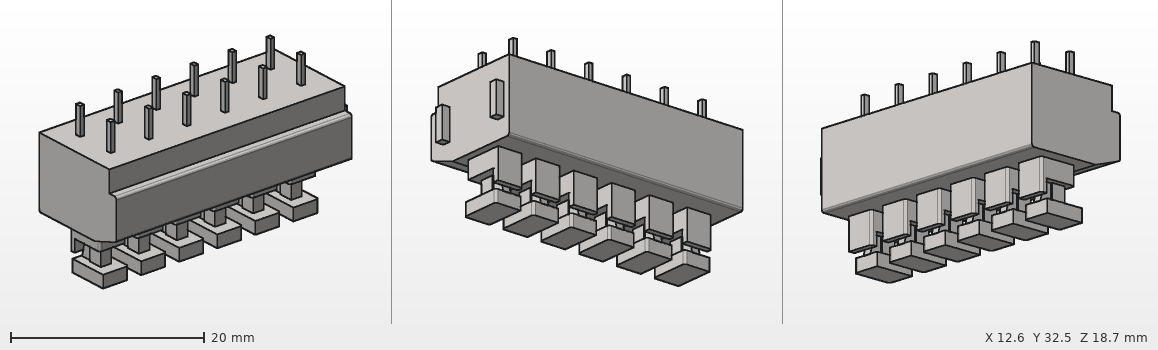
import cadquery as cq


total_length = 32.48
total_height = 18.7
housing_depth = 12.6

housing_height = 9.1
top_depth = 11.45
shelf_height = 6.33
slope_start = 9.13
slope_rise = 1.17
housing_round = 0.32

peg_length = 1.0
peg_width = 1.0
peg_height = 3.93
peg_bottom = 2.35
peg_centers = (1.35, 10.1)
housing_length = total_length - peg_length

pole_count = 6
row_span = 25.43
pole_pitch = row_span / (pole_count - 1)

pin_depth = 0.68
pin_width = 0.52
pin_height = 3.55
pin_spacing = 5.0
first_pin_x = 3.18
first_pin_y = 2.85

guide_front = 2.95
guide_depth = 4.85
guide_width = 3.35
guide_height = 2.25
guide_wall = 0.78
guide_wall_height = 3.83
guide_round = 0.3
first_guide_y = 3.38

button_bottom = housing_height + pin_height - total_height
first_button_y = 3.18
head_front = 3.6
head_depth = 5.0
head_width = 3.38
head_height = 1.6
head_round = 0.3
head_top = button_bottom + head_height
stem_front = 5.25
stem_back = 7.05
stem_width = 1.43
rib_width = 1.05
rib_foot_x = 3.75
rib_top_x = 4.32


def block(x_start, y_center, z_start, depth, width, height):
    """Box starting at x_start and z_start, centred on y_center."""
    return (
        cq.Workplane("XY")
        .box(depth, width, height, centered=(False, True, False))
        .translate((x_start, y_center, z_start))
    )


def make_housing():
    profile = (
        cq.Workplane("XZ")
        .moveTo(0, 0)
        .lineTo(slope_start, 0)
        .lineTo(housing_depth, slope_rise)
        .lineTo(housing_depth, shelf_height)
        .lineTo(top_depth, shelf_height)
        .lineTo(top_depth, housing_height)
        .lineTo(0, housing_height)
        .close()
    )
    body = profile.extrude(-housing_length)
    rear_edges = body.faces(">X").edges("|Y")
    front_edge = body.faces("<X").edges("|Y and <Z")
    return body.newObject(rear_edges.vals() + front_edge.vals()).fillet(housing_round)


def make_peg(x_center):
    x_start = x_center - peg_width / 2
    y_center = housing_length + peg_length / 2
    return block(x_start, y_center, peg_bottom, peg_width, peg_length, peg_height)


def make_pin(x_center, y_center):
    x_start = x_center - pin_depth / 2
    return block(x_start, y_center, housing_height, pin_depth, pin_width, pin_height)


def make_guide(y_center):
    """Guide with a longer front wall and rounded corners on the -Y side."""
    base = block(guide_front, y_center, -guide_height, guide_depth, guide_width, guide_height)
    wall = block(guide_front, y_center, -guide_wall_height, guide_wall, guide_width, guide_wall_height)
    return base.union(wall).faces("<Y").edges("|Z and (<X or >X)").fillet(guide_round)


def make_button(y_center):
    """Button head rounded on its +Y side, with its stem and sloped rib."""
    stem_height = -guide_height - head_top
    head = block(head_front, y_center, button_bottom, head_depth, head_width, head_height)
    head = head.faces(">Y").edges("|Z").fillet(head_round)
    stem = block(stem_front, y_center, head_top, stem_back - stem_front, stem_width, stem_height)
    rib = (
        cq.Workplane("XZ", origin=(0, y_center, 0))
        .moveTo(rib_foot_x, head_top)
        .lineTo(stem_front, head_top)
        .lineTo(stem_front, -guide_height)
        .lineTo(rib_top_x, -guide_height)
        .close()
        .extrude(rib_width / 2, both=True)
    )
    return head.union(stem).union(rib)


result = make_housing()

for peg_x in peg_centers:
    result = result.union(make_peg(peg_x))

for pole in range(pole_count):
    pole_offset = pole * pole_pitch
    for pin_x in (first_pin_x, first_pin_x + pin_spacing):
        result = result.union(make_pin(pin_x, first_pin_y + pole_offset))
    result = result.union(make_guide(first_guide_y + pole_offset))
    result = result.union(make_button(first_button_y + pole_offset))